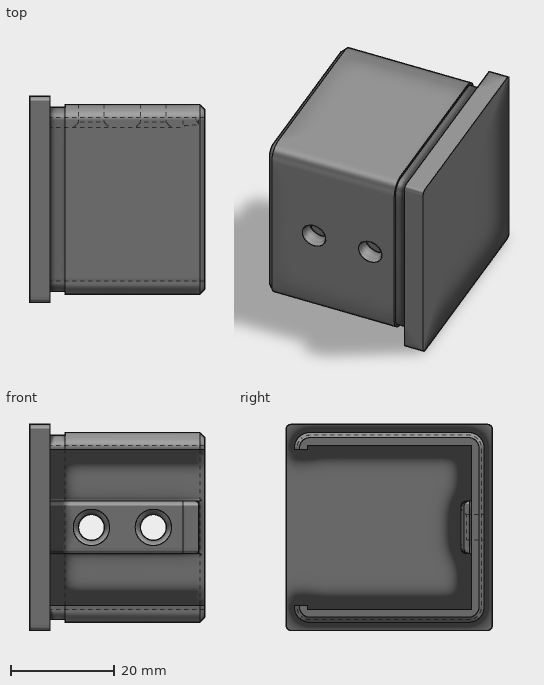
import math

import cadquery as cq

cap_side = 40.0
cap_thickness = 4.0
cap_corner_radius = 1.0

overall_length = 34.0
plug_side = 36.8
plug_corner_radius = 3.0
plug_end_chamfer = 1.0
neck_end = 6.9
neck_depth = 0.5
wall = 2.5

lip_width = 2.6
opening = 30.2

pad_height = 2.0
pad_width = 10.15
pad_end = 32.75
pad_crest_radius = 1.0
pad_corner_radius = 0.6
nose_start = 29.7
nose_step = 0.35
nose_slope = 4.5
side_flare = 0.35
end_flare = 0.7

hole_diameter = 4.95
countersink_diameter = 7.05
countersink_angle = 90.0
hole_positions = (12.0, 24.0)

web_face = plug_side / 2 - wall
pad_face = web_face - pad_height


def square_block(side, corner_radius, start, end):
    """Square bar along X, centred on the axis, with rounded long edges."""
    block = cq.Workplane("YZ").workplane(offset=start).rect(side, side).extrude(end - start)
    return block.edges("|X").fillet(corner_radius)


def make_plug():
    """Solid plug: a slightly smaller neck next to the cap, then the chamfered sleeve."""
    neck_side = plug_side - 2 * neck_depth
    neck = square_block(neck_side, plug_corner_radius - neck_depth, cap_thickness, neck_end)
    sleeve = square_block(plug_side, plug_corner_radius, neck_end, overall_length)
    sleeve = sleeve.faces(">X").chamfer(plug_end_chamfer)
    return neck.union(sleeve)


def box_between(start, end, bottom, top, height):
    """Box from start to end along X and bottom to top along Y, centred in Z."""
    box = cq.Workplane("XY").box(end - start, top - bottom, height, centered=(False, False, True))
    return box.translate((start, bottom, 0))


def make_channel_space():
    """Space between the flanges, narrower between the lips at its open side."""
    open_side = -plug_side / 2
    cavity = box_between(
        cap_thickness, overall_length, open_side + lip_width, web_face, plug_side - 2 * wall
    )
    slot = box_between(cap_thickness, overall_length, open_side, web_face, opening)
    return cavity.union(slot)


def make_pad_body():
    """Full-height part of the pad, with rounded long edges."""
    body = box_between(cap_thickness, nose_start, pad_face, web_face, pad_width)
    return body.edges("|X and <Y").fillet(pad_crest_radius)


def make_pad_nose():
    """Lower, sloping end of the pad, rising to the full height in a concave arc."""
    slope = math.radians(nose_slope)
    arc_end = nose_start + nose_step * (1 - math.sin(slope))
    arc_end_y = pad_face + nose_step * math.cos(slope)
    tip_y = arc_end_y + (pad_end - arc_end) * math.tan(slope)
    arc_turn = (math.pi / 2 - slope) / 2
    arc_middle = (
        nose_start + nose_step * (1 - math.cos(arc_turn)),
        pad_face + nose_step * math.sin(arc_turn),
    )
    nose = (
        cq.Workplane("XY", origin=(0, 0, -pad_width / 2))
        .moveTo(nose_start, web_face)
        .lineTo(nose_start, pad_face)
        .threePointArc(arc_middle, (arc_end, arc_end_y))
        .lineTo(pad_end, tip_y)
        .lineTo(pad_end, web_face)
        .close()
        .extrude(pad_width)
    )
    nose = nose.faces("<Z or >Z").edges("not(|Y or >Y)").fillet(pad_crest_radius)
    corner_limits = box_between(nose_start, pad_end, pad_face, web_face, pad_width)
    corner_limits = corner_limits.edges("|Y and >X").fillet(pad_corner_radius)
    return nose.intersect(corner_limits)


def make_pad_flare():
    """Concave flare at the foot of the pad, mitred where its sides meet its end."""
    half_width = pad_width / 2
    bend = 1 - math.sqrt(0.5)
    foot = half_width + side_flare
    across = (
        cq.Workplane("YZ", origin=(cap_thickness, 0, 0))
        .moveTo(web_face, -foot)
        .threePointArc(
            (web_face - side_flare * bend, -half_width - side_flare * bend),
            (web_face - side_flare, -half_width),
        )
        .lineTo(web_face - side_flare, half_width)
        .threePointArc(
            (web_face - side_flare * bend, half_width + side_flare * bend),
            (web_face, foot),
        )
        .close()
        .extrude(overall_length)
    )
    along = (
        cq.Workplane("XY", origin=(0, 0, -foot))
        .moveTo(cap_thickness, web_face)
        .lineTo(cap_thickness, web_face - end_flare)
        .lineTo(pad_end, web_face - end_flare)
        .threePointArc(
            (pad_end + end_flare * bend, web_face - end_flare * bend),
            (pad_end + end_flare, web_face),
        )
        .close()
        .extrude(2 * foot)
    )
    return across.intersect(along)


def make_screw_hole(x):
    """Cutter along +Y: countersink cone at the pad face and a through hole."""
    sink_width = (countersink_diameter - hole_diameter) / 2
    depth = sink_width / math.tan(math.radians(countersink_angle / 2))
    return (
        cq.Workplane("YZ", origin=(x, pad_face, 0))
        .lineTo(0, -countersink_diameter / 2)
        .lineTo(depth, -hole_diameter / 2)
        .lineTo(plug_side, -hole_diameter / 2)
        .lineTo(plug_side, 0)
        .close()
        .revolve(360, (0, 0, 0), (1, 0, 0))
    )


cap = square_block(cap_side, cap_corner_radius, 0, cap_thickness)
result = cap.union(make_plug()).cut(make_channel_space())
result = result.union(make_pad_flare()).union(make_pad_body()).union(make_pad_nose())
for hole_x in hole_positions:
    result = result.cut(make_screw_hole(hole_x))